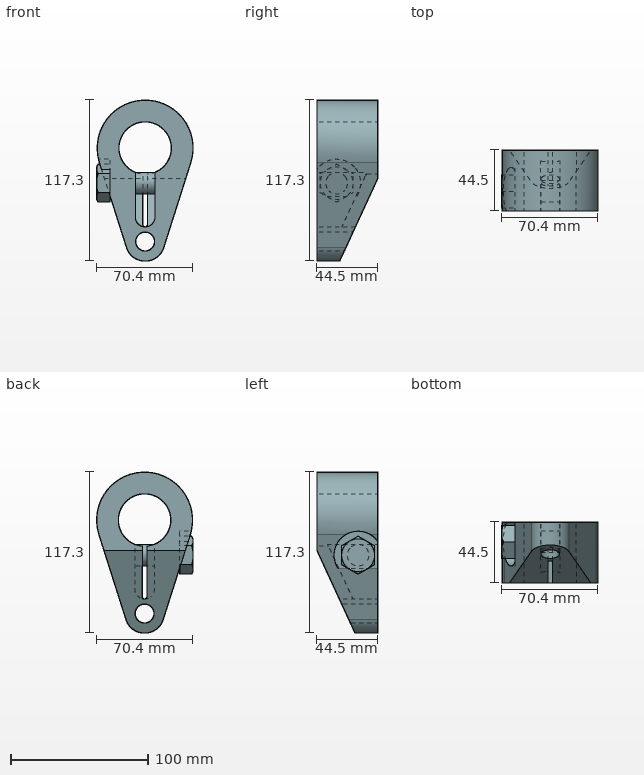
import cadquery as cq
import math


height = 117.3
depth = 44.5
head_radius = 35.0
tip_radius = 14.3
tip_z = head_radius + tip_radius - height
bore_radius = 19.0
tip_hole_radius = 6.8

slope_top_z = -22.0
tip_depth = 16.7
bottom_z = tip_z - tip_radius

slot_width = 14.3
slot_bottom_z = -57.3
web_thickness = 10.0
slit_width = 3.3

bolt_y = 14.4
bolt_z = -25.6
shank_radius = 7.9
shank_end_x = 17.6
seat_x = -25.5
seat_radius = 17.5
hex_across_flats = 23.9
hex_height = 9.9
hex_chamfer_angle = 30.0


def cylinder_along_y(radius, z):
    return cq.Workplane("XZ").center(0, z).circle(radius).extrude(-depth)


def cylinder_along_x(radius, start_x, length):
    return cq.Workplane("YZ", origin=(start_x, bolt_y, bolt_z)).circle(radius).extrude(length)


def back_wedge(offset):
    """Everything behind the sloping back plane after moving it forward by offset."""
    slope = (depth - tip_depth) / (slope_top_z - bottom_z)
    low_z = bottom_z - head_radius
    high_z = head_radius
    low_y = tip_depth - offset + slope * (low_z - bottom_z)
    high_y = tip_depth - offset + slope * (high_z - bottom_z)
    far_y = high_y + depth
    profile = [(low_y, low_z), (high_y, high_z), (far_y, high_z), (far_y, low_z)]
    return cq.Workplane("YZ").polyline(profile).close().extrude(head_radius, both=True)


def round_bottom_slot(width):
    """Full-depth slot running from the bore axis down to the slot bottom."""
    half = width / 2
    return (
        cq.Workplane("XZ")
        .moveTo(-half, 0)
        .lineTo(-half, slot_bottom_z + half)
        .threePointArc((0, slot_bottom_z), (half, slot_bottom_z + half))
        .lineTo(half, 0)
        .close()
        .extrude(-depth)
    )


def lever_body():
    sine = (head_radius - tip_radius) / -tip_z
    cosine = math.sqrt(1 - sine**2)
    head_x, head_z = head_radius * cosine, -head_radius * sine
    foot_x, foot_z = tip_radius * cosine, tip_z - tip_radius * sine
    body = (
        cq.Workplane("XZ")
        .moveTo(-head_x, head_z)
        .threePointArc((0, head_radius), (head_x, head_z))
        .lineTo(foot_x, foot_z)
        .threePointArc((0, bottom_z), (-foot_x, foot_z))
        .close()
        .extrude(-depth)
    )
    body = body.cut(back_wedge(0))
    body = body.cut(cylinder_along_y(bore_radius, 0))
    body = body.cut(cylinder_along_y(tip_hole_radius, tip_z))
    body = body.cut(round_bottom_slot(slot_width).cut(back_wedge(web_thickness)))
    body = body.cut(round_bottom_slot(slit_width))
    return body.cut(cylinder_along_x(seat_radius, seat_x, -head_radius))


def bolt():
    corner_diameter = hex_across_flats / math.cos(math.radians(30))
    head = (
        cq.Workplane("YZ", origin=(seat_x, bolt_y, bolt_z))
        .transformed(rotate=(0, 0, 90))
        .polygon(6, corner_diameter)
        .extrude(-hex_height)
    )
    flat_radius = hex_across_flats / 2
    base_radius = flat_radius + hex_height / math.tan(math.radians(hex_chamfer_angle))
    cone = cq.Workplane("XY").add(
        cq.Solid.makeCone(
            base_radius,
            flat_radius,
            hex_height,
            cq.Vector(seat_x, bolt_y, bolt_z),
            cq.Vector(-1, 0, 0),
        )
    )
    shank = cylinder_along_x(shank_radius, seat_x, shank_end_x - seat_x)
    return head.intersect(cone).union(shank)


result = lever_body().union(bolt())